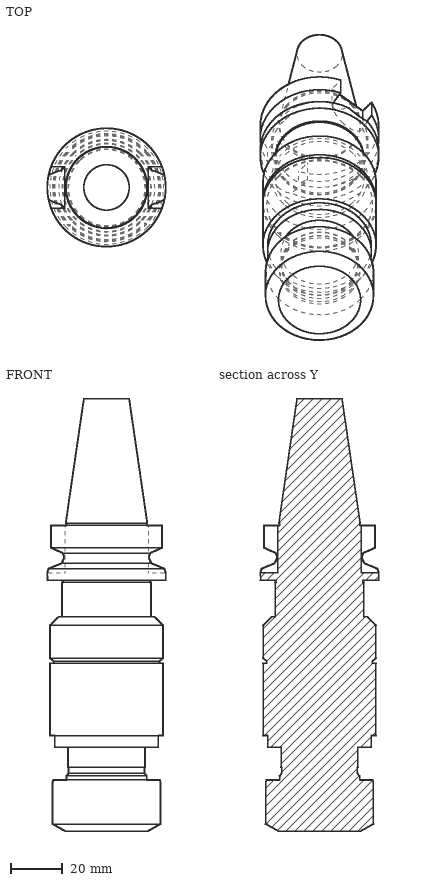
import cadquery as cq

total_height = 168.0

nut_diameter = 42.0
nut_nose_diameter = 32.0
nut_nose_height = 2.9
nut_top = 20.0
nut_rim_diameter = 41.5
nut_rim_height = 1.0
nut_collar_diameter = 31.2
nut_collar_top = 21.5
nut_collar_cone_top = 22.5

spindle_diameter = 30.0
spindle_relief_diameter = 29.5
spindle_relief_top = 24.9
spindle_top = 32.6

sleeve_step_diameter = 40.3
sleeve_bottom = 37.1
body_diameter = 44.0
joint_bottom = 65.4
joint_height = 0.7
joint_diameter = 41.2
joint_chamfer_height = 1.2
body_shoulder_bottom = 80.0
body_shoulder_size = 3.4
body_top = body_shoulder_bottom + body_shoulder_size

neck_diameter = 34.6
neck_relief_diameter = 34.0
neck_relief_height = 0.8

flange_diameter = 46.0
flange_bottom = 97.5
flange_top = 118.8
groove_edge_diameter = 37.6
groove_floor_diameter = 36.6
groove_bottom = 102.0
groove_top = 110.0
groove_cone_height = 2.0

taper_large_diameter = 31.8
taper_bottom = 119.6
taper_ratio = 7 / 24
taper_small_diameter = taper_large_diameter - taper_ratio * (total_height - taper_bottom)
taper_root_diameter = 31.2

slot_width = 16.0
slot_flat_distance = 16.3
slot_bottom = 100.5


def profile_point(diameter, height):
    """Turn a diameter at a height into a point of the half profile."""
    return (diameter / 2, height)


def make_holder():
    """Revolve the stepped profile, listed from bottom to top as (diameter, height)."""
    lower_steps = [
        (0, 0),
        (nut_nose_diameter, 0),
        (nut_diameter, nut_nose_height),
        (nut_diameter, nut_top - nut_rim_height),
        (nut_rim_diameter, nut_top),
        (nut_collar_diameter, nut_top),
        (nut_collar_diameter, nut_collar_top),
        (spindle_relief_diameter, nut_collar_cone_top),
        (spindle_relief_diameter, spindle_relief_top),
        (spindle_diameter, spindle_relief_top),
        (spindle_diameter, spindle_top),
        (sleeve_step_diameter, spindle_top),
        (sleeve_step_diameter, sleeve_bottom),
        (body_diameter, sleeve_bottom),
        (body_diameter, joint_bottom),
        (joint_diameter, joint_bottom),
        (joint_diameter, joint_bottom + joint_height),
        (body_diameter, joint_bottom + joint_height + joint_chamfer_height),
        (body_diameter, body_shoulder_bottom),
        (body_diameter - 2 * body_shoulder_size, body_top),
        (neck_diameter, body_top),
        (neck_diameter, flange_bottom - neck_relief_height),
        (neck_relief_diameter, flange_bottom - neck_relief_height),
        (neck_relief_diameter, flange_bottom),
        (flange_diameter, flange_bottom),
        (flange_diameter, groove_bottom),
        (groove_edge_diameter, groove_bottom + groove_cone_height),
    ]
    groove_middle = (groove_floor_diameter, (groove_bottom + groove_top) / 2)
    upper_steps = [
        (groove_edge_diameter, groove_top - groove_cone_height),
        (flange_diameter, groove_top),
        (flange_diameter, flange_top),
        (taper_root_diameter, flange_top),
        (taper_root_diameter, taper_bottom),
        (taper_large_diameter, taper_bottom),
        (taper_small_diameter, total_height),
        (0, total_height),
    ]
    lower_points = [profile_point(*step) for step in lower_steps]
    upper_points = [profile_point(*step) for step in upper_steps]
    return (
        cq.Workplane("XZ")
        .polyline(lower_points)
        .threePointArc(profile_point(*groove_middle), upper_points[0])
        .polyline(upper_points[1:], includeCurrent=True)
        .close()
        .revolve(360, (0, 0), (0, 1))
    )


def make_drive_slot(side):
    """Round-ended slot cutter, open upwards and outwards; side is -1 or +1 along X."""
    radius = slot_width / 2
    arc_center = slot_bottom + radius
    return (
        cq.Workplane("YZ", origin=(side * slot_flat_distance, 0, 0))
        .moveTo(-radius, flange_top)
        .lineTo(-radius, arc_center)
        .radiusArc((0, slot_bottom), -radius)
        .radiusArc((radius, arc_center), -radius)
        .lineTo(radius, flange_top)
        .close()
        .extrude(side * flange_diameter / 2)
    )


result = make_holder()
for slot_side in (-1, 1):
    result = result.cut(make_drive_slot(slot_side))